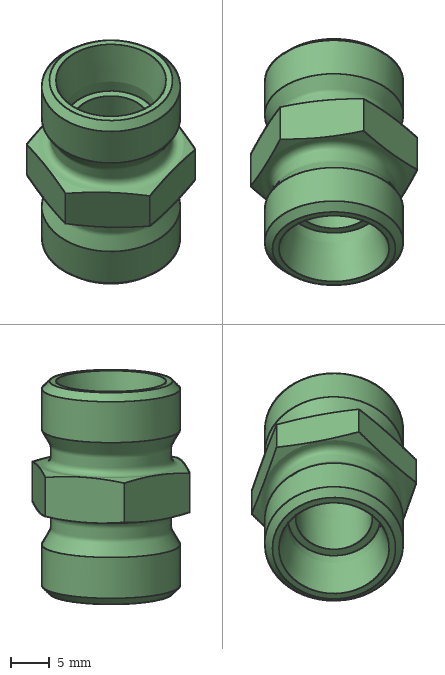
import cadquery as cq
import math

length = 28.0
half_length = length / 2

hex_across_flats = 19.0
hex_thickness = 6.0
hex_chamfer_diameter = 18.9
hex_chamfer_angle = 15.0

end_diameter = 18.0
end_length = 6.4
end_chamfer = 1.0
groove_diameter = 15.7
groove_cone_angle = 30.0
groove_fillet = 1.0

bore_diameter = 10.0
counterbore_diameter = 12.0
counterbore_depth = 7.0
seat_diameter = 14.3
seat_angle = 12.0


def slope(degrees):
    return math.tan(math.radians(degrees))


def make_collar():
    """Hexagon with corners on the Y axis, its corners turned down by shallow cones."""
    across_corners = hex_across_flats / math.cos(math.radians(30))
    corner_radius = across_corners / 2
    chamfer_radius = hex_chamfer_diameter / 2
    half_thickness = hex_thickness / 2
    corner_height = half_thickness - (corner_radius - chamfer_radius) * slope(hex_chamfer_angle)
    prism = (
        cq.Workplane("XY")
        .polygon(6, across_corners)
        .extrude(half_thickness, both=True)
        .rotate((0, 0, 0), (0, 0, 1), 30)
    )
    turned_envelope = (
        cq.Workplane("XZ")
        .moveTo(0, -half_thickness)
        .lineTo(chamfer_radius, -half_thickness)
        .lineTo(corner_radius, -corner_height)
        .lineTo(corner_radius, corner_height)
        .lineTo(chamfer_radius, half_thickness)
        .lineTo(0, half_thickness)
        .close()
        .revolve(360, (0, 0, 0), (0, 1, 0))
    )
    return prism.intersect(turned_envelope)


def make_upper_end():
    """Chamfered end, tapering into a groove that flares out onto the collar."""
    end_radius = end_diameter / 2
    groove_radius = groove_diameter / 2
    collar_top = hex_thickness / 2
    taper_start = half_length - end_length
    taper_end = taper_start - (end_radius - groove_radius) / slope(groove_cone_angle)

    blend_tangent = groove_fillet * slope(groove_cone_angle / 2)
    taper_direction = math.radians(groove_cone_angle)
    blend_radius = groove_radius + blend_tangent * math.sin(taper_direction)
    blend_top = taper_end + blend_tangent * math.cos(taper_direction)

    return (
        cq.Workplane("XZ")
        .moveTo(0, 0)
        .lineTo(groove_radius + groove_fillet, 0)
        .lineTo(groove_radius + groove_fillet, collar_top)
        .radiusArc((groove_radius, collar_top + groove_fillet), groove_fillet)
        .lineTo(groove_radius, taper_end - blend_tangent)
        .radiusArc((blend_radius, blend_top), groove_fillet)
        .lineTo(end_radius, taper_start)
        .lineTo(end_radius, half_length - end_chamfer)
        .lineTo(end_radius - end_chamfer, half_length)
        .lineTo(0, half_length)
        .close()
        .revolve(360, (0, 0, 0), (0, 1, 0))
    )


def make_upper_bore():
    """Upper half of the passage: plain bore, counterbore and conical seat."""
    counterbore_radius = counterbore_diameter / 2
    seat_radius = seat_diameter / 2
    seat_depth = (seat_radius - counterbore_radius) / slope(seat_angle)
    return (
        cq.Workplane("XZ")
        .moveTo(0, 0)
        .lineTo(bore_diameter / 2, 0)
        .lineTo(bore_diameter / 2, half_length - counterbore_depth)
        .lineTo(counterbore_radius, half_length - counterbore_depth)
        .lineTo(counterbore_radius, half_length - seat_depth)
        .lineTo(seat_radius, half_length)
        .lineTo(0, half_length)
        .close()
        .revolve(360, (0, 0, 0), (0, 1, 0))
    )


upper_end = make_upper_end()
upper_bore = make_upper_bore()
body = make_collar().union(upper_end).union(upper_end.mirror("XY"))
result = body.cut(upper_bore).cut(upper_bore.mirror("XY"))